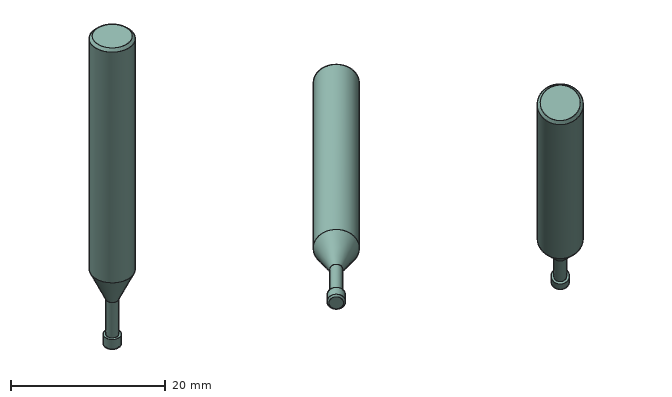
import cadquery as cq

total_length = 50.0
shank_radius = 3.0
shank_chamfer = 0.4

shank_bottom = 12.3
neck_top = 7.5
head_top = 1.8

neck_radius = 0.85
head_radius = 1.2
tip_chamfer = 0.25

profile = (
    cq.Workplane("XZ")
    .lineTo(head_radius, 0)
    .lineTo(head_radius, head_top)
    .lineTo(neck_radius, head_top)
    .lineTo(neck_radius, neck_top)
    .lineTo(shank_radius, shank_bottom)
    .lineTo(shank_radius, total_length)
    .lineTo(0, total_length)
    .close()
)
body = profile.revolve(360, (0, 0, 0), (0, 1, 0))

body = body.faces(">Z").edges().chamfer(shank_chamfer)
result = body.faces("<Z").edges().chamfer(tip_chamfer)